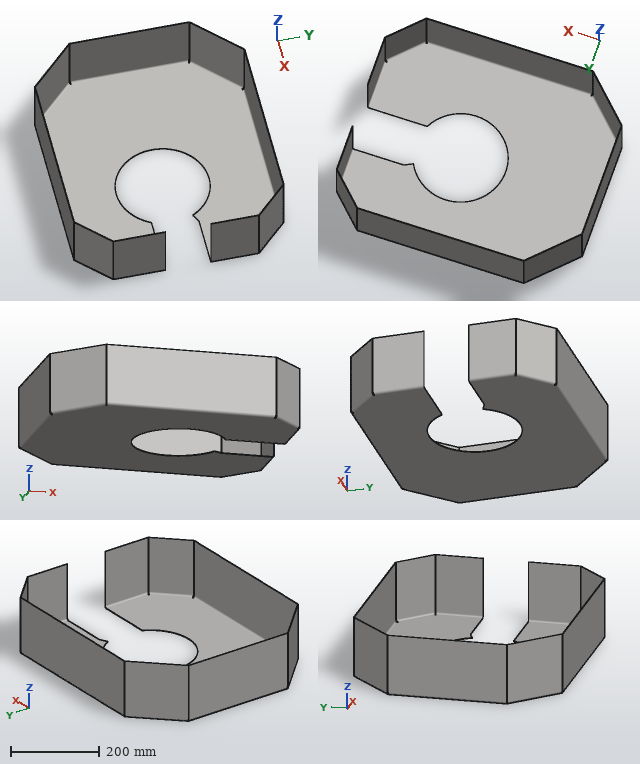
import cadquery as cq
import math

length = 580.0
width = 490.0
height = 144.0

sheet = 2.0
inner_bend_radius = 4.0
bend_radius = inner_bend_radius + sheet

left_corner = 105.0
right_corner = 75.0

seam = 0.3
relief = 2.0
corner_turn = 45

hole_radius = 108.0
hole_x = 50.0
slot_front = 48.0
slot_back = 58.0


def tray_outline(inset):
    """Corners of the eight-sided outline, moved inwards by the given inset."""
    x = length / 2 - inset
    y = width / 2 - inset
    leg_change = inset * (2 - math.sqrt(2))
    left = left_corner - leg_change
    right = right_corner - leg_change
    return [
        (-x, -y + left),
        (-x + left, -y),
        (x - right, -y),
        (x, -y + right),
        (x, y - right),
        (x - right, y),
        (-x + left, y),
        (-x, y - left),
    ]


def rounded_block(inset, floor_z, radius):
    """Eight-sided block standing on floor_z, with its bottom edges rounded."""
    block = cq.Workplane("XY").workplane(offset=floor_z).polyline(tray_outline(inset)).close()
    return block.extrude(height - floor_z).faces("<Z").edges().fillet(radius)


def opening():
    """Round hole with a slot to the +X side, whose back edge starts along a radius of the hole."""
    start_x = math.sqrt(hole_radius**2 - slot_front**2)
    back_x = start_x * slot_back / slot_front
    slot_end = length / 2 - hole_x + sheet
    plane = cq.Workplane("XY").center(hole_x, 0)
    slot = plane.polyline(
        [
            (0, 0),
            (start_x, -slot_front),
            (slot_end, -slot_front),
            (slot_end, slot_back),
            (back_x, slot_back),
        ]
    ).close().extrude(height)
    return plane.circle(hole_radius).extrude(height).union(slot)


def corner_gap(outer, inner):
    """Gap at one corner, running along the mitre from the flat floor (inner) out past the walls (outer)."""
    mitre_length = math.dist(outer, inner)
    mitre_angle = math.degrees(math.atan2(outer[1] - inner[1], outer[0] - inner[0]))
    half_turn = math.radians(corner_turn / 2)

    seam_start = mitre_length - sheet / math.cos(half_turn)
    outer_end = mitre_length + sheet
    half_seam = seam / 2
    half_mouth = half_seam + (outer_end - seam_start) * math.tan(half_turn)
    wall_gap = cq.Workplane("XY").polyline(
        [
            (0, -half_seam),
            (seam_start, -half_seam),
            (outer_end, -half_mouth),
            (outer_end, half_mouth),
            (seam_start, half_seam),
            (0, half_seam),
        ]
    ).close().extrude(height)

    bend_gap = cq.Workplane("XY").box(outer_end, relief, bend_radius, centered=(False, True, False))
    gap = wall_gap.union(bend_gap)
    return gap.rotate((0, 0, 0), (0, 0, 1), mitre_angle).translate((*inner, 0))


tray = rounded_block(0, 0, bend_radius).cut(rounded_block(sheet, sheet, inner_bend_radius))
result = tray.cut(opening())
for outer_corner, floor_corner in zip(tray_outline(0), tray_outline(bend_radius)):
    result = result.cut(corner_gap(outer_corner, floor_corner))